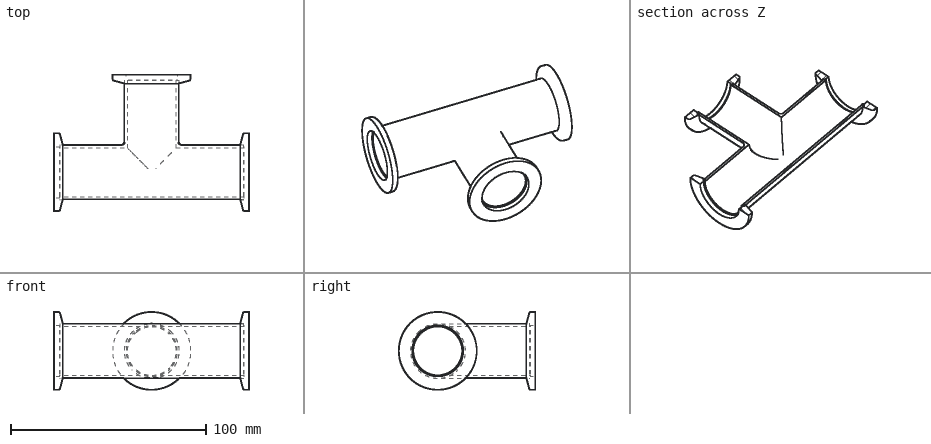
import cadquery as cq
import math

run_length = 100.0
branch_reach = 50.0

tube_od = 28.0
tube_id = 25.0
saddle_fillet = 1.5

flange_od = 40.0
recess_diameter = 26.2
recess_depth = 2.6
lip_thickness = 0.4
socket_depth = recess_depth + lip_thickness
socket_diameter = 28.1
rim_thickness = 3.0
cone_angle = 15.0
rim_fillet = 1.0
flange_thickness = rim_thickness + (flange_od - socket_diameter) / 2 * math.tan(math.radians(cone_angle))

ends = [
    ((-1, 0, 0), run_length / 2),
    ((1, 0, 0), run_length / 2),
    ((0, 1, 0), branch_reach),
]


def cylinder(diameter, start, direction, length):
    return cq.Workplane(
        cq.Solid.makeCylinder(diameter / 2, length, cq.Vector(start), cq.Vector(direction))
    )


def crossing_cylinders(diameter):
    """Run and branch cylinders that stop at the floors of the flange sockets."""
    half_run = run_length / 2 - socket_depth
    run = cylinder(diameter, (-half_run, 0, 0), (1, 0, 0), 2 * half_run)
    branch = cylinder(diameter, (0, 0, 0), (0, 1, 0), branch_reach - socket_depth)
    return run.union(branch)


def make_tube():
    """Hollow tee with a fillet along the saddle where the branch meets the run."""
    outside = crossing_cylinders(tube_od).edges("%ELLIPSE")
    return outside.fillet(saddle_fillet).cut(crossing_cylinders(tube_id))


def make_flange(direction, distance):
    """Clamp flange: recessed mating face, a lip that stops the tube, and a cone behind the rim."""
    outer = flange_od / 2
    socket = socket_diameter / 2
    bore = tube_id / 2
    recess = recess_diameter / 2
    face = cq.Plane(origin=tuple(distance * d for d in direction), normal=direction)
    body = (
        cq.Workplane("XZ")
        .moveTo(recess, 0)
        .lineTo(outer, 0)
        .lineTo(outer, -rim_thickness)
        .lineTo(socket, -flange_thickness)
        .lineTo(socket, -socket_depth)
        .lineTo(bore, -socket_depth)
        .lineTo(bore, -recess_depth)
        .lineTo(recess, -recess_depth)
        .close()
        .revolve(360, (0, 0, 0), (0, 1, 0))
    )
    largest = cq.selectors.RadiusNthSelector(-1)
    body = body.edges("not >Z").edges(largest).fillet(rim_fillet)
    return body.val().moved(cq.Location(face))


tube = make_tube()
flanges = [make_flange(direction, distance) for direction, distance in ends]

result = cq.Compound.makeCompound([tube.val(), *flanges])